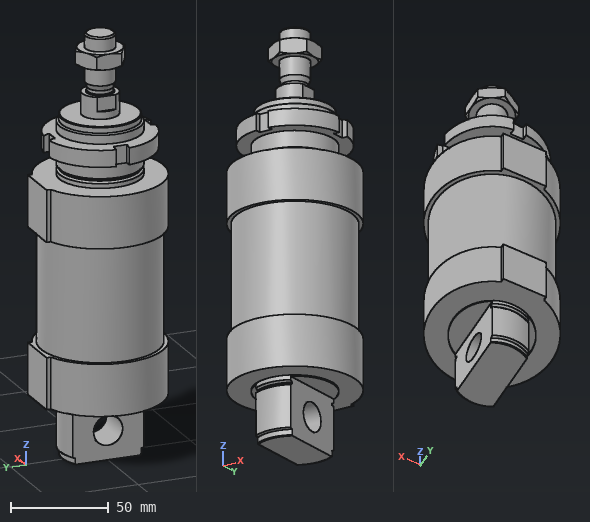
import cadquery as cq
import math

head_d = 70.0
tube_d = 65.3
clevis_height = 32.8
head_height = 28.5
tube_height = 62.8
pad_width = 25.0

neck_d = 45.0
neck_height = 33.0
neck_step_d = 42.5
neck_step_height = 3.5
neck_shoulder_height = 0.7
neck_end_chamfer = 0.5
groove_d = 42.5
groove_width = 2.8
groove_floor_width = 0.7
groove_offset = 4.0

flange_height = 0.7
tongue_thickness = 21.3
tongue_hole_d = 16.0
tongue_hole_z = 16.0

rod_d = 20.0
rod_height = 12.0
rod_flats_across = 17.0
rod_flats_height = 7.8
undercut_d = 13.8
undercut_height = 5.5
undercut_taper_height = 3.0
undercut_root_d = 15.0
thread_d = 16.0
thread_tip_d = 14.5
thread_tip_chamfer_height = 1.0
total_height = 229.2

lock_nut_d = 60.0
lock_nut_height = 9.9
lock_nut_top_gap = 9.0
lock_nut_rim_d = 55.5
lock_nut_rim_height = 0.7
slot_count = 4
slot_width = 7.3
slot_depth = 3.5

hex_across_flats = 24.0
hex_height = 8.5
hex_top_gap = 7.8
hex_chamfer_height = 1.0

upper_head_z = clevis_height + head_height + tube_height
neck_z = upper_head_z + head_height
neck_top_z = neck_z + neck_height
rod_top_z = neck_top_z + rod_height
lock_nut_z = neck_top_z - lock_nut_top_gap - lock_nut_height
hex_nut_z = total_height - hex_top_gap - hex_height


def cylinder(diameter, height, base_z):
    """Solid cylinder on the Z axis."""
    return cq.Workplane("XY").workplane(offset=base_z).circle(diameter / 2).extrude(height)


def revolve_profile(points):
    """Turn a closed (radius, z) outline about the Z axis."""
    return cq.Workplane("XZ").polyline(points).close().revolve(360, (0, 0), (0, 1))


def make_head(base_z):
    """Round head with a flat port pad on its +Y side."""
    head = cylinder(head_d, head_height, base_z)
    pad_depth = head_d / 2
    pad = (
        cq.Workplane("XY")
        .box(pad_width, pad_depth, head_height, centered=(True, False, False))
        .translate((0, 0, base_z))
    )
    return head.union(pad)


def make_stepped_boss(length):
    """Boss rising from z = 0, with a tapered groove near its root and a smaller step at its end."""
    outer_r = neck_d / 2
    step_r = neck_step_d / 2
    step_z = length - neck_step_height
    return revolve_profile([
        (0, 0),
        (outer_r, 0),
        (outer_r, groove_offset - groove_width / 2),
        (groove_d / 2, groove_offset - groove_floor_width / 2),
        (groove_d / 2, groove_offset + groove_floor_width / 2),
        (outer_r, groove_offset + groove_width / 2),
        (outer_r, step_z - neck_shoulder_height),
        (step_r, step_z),
        (step_r, length - neck_end_chamfer),
        (step_r - neck_end_chamfer, length),
        (0, length),
    ])


def make_clevis():
    """Downward boss cut to a tongue, with a cross hole and a full round flange at its root."""
    boss = make_stepped_boss(clevis_height).mirror("XY").translate((0, 0, clevis_height))
    tongue_slab = cq.Workplane("XY").box(
        tongue_thickness, head_d, clevis_height, centered=(True, True, False)
    )
    flange = cylinder(neck_d, flange_height, clevis_height - flange_height)
    cross_hole = (
        cq.Workplane("YZ")
        .center(0, tongue_hole_z)
        .circle(tongue_hole_d / 2)
        .extrude(head_d / 2, both=True)
    )
    return boss.intersect(tongue_slab).union(flange).cut(cross_hole)


def make_cylinder_body():
    tube = cylinder(tube_d, tube_height, clevis_height + head_height)
    neck = make_stepped_boss(neck_height).translate((0, 0, neck_z))
    body = make_clevis().union(make_head(clevis_height)).union(tube)
    return body.union(make_head(upper_head_z)).union(neck)


def make_piston_rod():
    """Rod standing on the neck, with wrench flats, an undercut and a threaded end."""
    thread_r = thread_d / 2
    tip_r = thread_tip_d / 2
    undercut_r = undercut_d / 2
    root_r = undercut_root_d / 2
    thread_z = rod_top_z + undercut_height
    rod = revolve_profile([
        (0, neck_top_z),
        (rod_d / 2, neck_top_z),
        (rod_d / 2, rod_top_z),
        (root_r, rod_top_z),
        (undercut_r, rod_top_z + root_r - undercut_r),
        (undercut_r, thread_z - undercut_taper_height),
        (thread_r, thread_z),
        (thread_r, total_height - thread_tip_chamfer_height),
        (tip_r, total_height),
        (0, total_height),
    ])
    for side in (-1, 1):
        flat_cut = (
            cq.Workplane("XY")
            .box(rod_d, rod_d, rod_flats_height, centered=(True, True, False))
            .translate((side * (rod_flats_across + rod_d) / 2, 0, rod_top_z - rod_flats_height))
        )
        rod = rod.cut(flat_cut)
    return rod


def make_lock_nut():
    """Round nut with four spanner slots and a beveled upper rim."""
    outer_r = lock_nut_d / 2
    inner_r = neck_d / 2
    top_z = lock_nut_z + lock_nut_height
    nut = revolve_profile([
        (inner_r, lock_nut_z),
        (outer_r, lock_nut_z),
        (outer_r, top_z - lock_nut_rim_height),
        (lock_nut_rim_d / 2, top_z),
        (inner_r, top_z),
    ])
    for index in range(slot_count):
        slot = (
            cq.Workplane("XY")
            .box(2 * slot_depth, slot_width, lock_nut_height, centered=(True, True, False))
            .translate((outer_r, 0, lock_nut_z))
            .rotate((0, 0, 0), (0, 0, 1), index * 360 / slot_count)
        )
        nut = nut.cut(slot)
    return nut


def make_hex_nut():
    """Hexagonal nut with its corners toward +Y and -Y, beveled at both ends."""
    corner_r = hex_across_flats / math.sqrt(3)
    flat_r = hex_across_flats / 2
    hexagon = (
        cq.Workplane("XY")
        .polygon(6, 2 * corner_r)
        .extrude(hex_height)
        .rotate((0, 0, 0), (0, 0, 1), 90)
    )
    bevel_envelope = revolve_profile([
        (0, 0),
        (flat_r, 0),
        (corner_r, hex_chamfer_height),
        (corner_r, hex_height - hex_chamfer_height),
        (flat_r, hex_height),
        (0, hex_height),
    ])
    thread_hole = cylinder(thread_d, hex_height, 0)
    return hexagon.intersect(bevel_envelope).cut(thread_hole).translate((0, 0, hex_nut_z))


cylinder_body = make_cylinder_body()
piston_rod = make_piston_rod()
lock_nut = make_lock_nut()
hex_nut = make_hex_nut()

result = cq.Compound.makeCompound([
    cylinder_body.val(),
    piston_rod.val(),
    lock_nut.val(),
    hex_nut.val(),
])